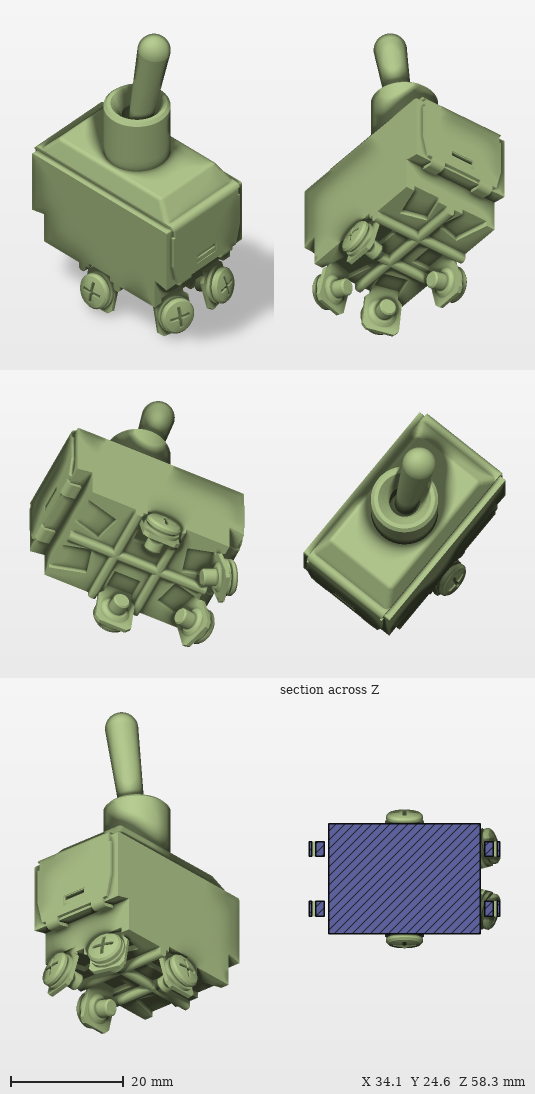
import cadquery as cq
import math

HOUSING_WIDTH = 32.75
BASE_WIDTH = 26.95
HOUSING_DEPTH = 19.6
HOUSING_TOP = 25.95
BASE_FLOOR = 7.3
SHOULDER_OUTER_Z = 12.9
SHOULDER_INNER_Z = 13.5
HOUSING_EDGE_RADIUS = 0.3

RIDGE_WIDTH = 1.5
RIDGE_BOTTOM = 5.8
RIDGE_RADIUS = 0.65
RIDGE_OFFSET = 4.2

SLOT_HEIGHT = 1.05
SLOT_WIDTH = 5.2
SLOT_DEPTH = 6.1
END_SLOT_Y = 5.35

SHEET = 0.65
BRACKET_WIDTH = 34.05
BRACKET_DEPTH = 17.15
BRACKET_TOP = 26.7
BEND_DEPTH = 16.25
BEND_RELIEF_Z = 24.25
BEND_RADIUS = 1.05
TAPER_START_Z = 17.7
STRAP_BOTTOM_Z = 13.4
STRAP_BOTTOM_DEPTH = 15.05
HOOK_WIDTH = 2.7
HOOK_Y = 5.3
HOOK_CORNER_Z = 11.85
HOOK_TIP_X = 14.1

WINDOW_WIDTH = 4.9
WINDOW_BOTTOM = 15.05
WINDOW_TOP = 16.95
WINDOW_STEP = 0.1
LATCH_LEDGE_Z = 16.05
LATCH_DEPTH = 0.95
LATCH_MARGIN = 0.2

COVER_TOP = 30.0
COVER_BASE_X = 30.8
COVER_BASE_Y = 17.15
COVER_TOP_X = 24.85
COVER_TOP_Y = 14.1
COVER_RADIUS = 0.95

BUSHING_DIAMETER = 11.95
BUSHING_TOP = 40.85
BUSHING_CHAMFER = 0.6
MOUTH_DIAMETER = 9.4
BORE_DIAMETER = 5.4
MOUTH_DEPTH = 2.5
LEVER_TILT = 10.6
BALL_DIAMETER = 5.95
BALL_SEAM = 0.2
BALL_X = 4.15
LEVER_TOP = 58.3
LEVER_ROOT_DIAMETER = 3.8
BALL_Z = LEVER_TOP - BALL_DIAMETER / 2
LEVER_LENGTH = BALL_X / math.sin(math.radians(LEVER_TILT))
PIVOT_Z = BALL_Z - BALL_X / math.tan(math.radians(LEVER_TILT))

TERMINAL_TILT = 15.0
TERMINAL_SKEW = 15.0
SIDE_TERMINAL_Y = 9.8
END_TERMINAL_X = 14.3
END_TERMINAL_Y = 5.55
PLATE_WIDTH = 6.95
NECK_WIDTH = 5.15
PLATE_THICKNESS = 0.75
PLATE_CHAMFER = 0.9
PLATE_SHOULDER = 6.2
NECK_START = 7.1
PLATE_LENGTH = 9.3
SCREW_HEIGHT = 3.7
BOSS_DIAMETER = 5.4
BOSS_TIP_DIAMETER = 4.0
BOSS_HEIGHT = 0.45
PIN_DIAMETER = 3.1
PIN_TIP_DIAMETER = 2.55
PIN_LENGTH = 3.05
PIN_CHAMFER = 0.3
FLAT_WASHER_DIAMETER = 6.7
LOCK_WASHER_DIAMETER = 5.4
FLAT_WASHER_THICKNESS = 0.65
LOCK_WASHER_THICKNESS = 0.45
HEAD_DIAMETER = 6.55
HEAD_FACE_DIAMETER = 5.85
HEAD_EDGE_HEIGHT = 0.5
HEAD_FACE_HEIGHT = 0.95
HEAD_DOME = 0.4
CROSS_LENGTH = 4.1
CROSS_WIDTH = 0.7
CROSS_DEPTH = 0.7


def block(x0, x1, y0, y1, z0, z1):
    """Axis-aligned box between two opposite corners."""
    return cq.Workplane("XY").box(x1 - x0, y1 - y0, z1 - z0, centered=False).translate((x0, y0, z0))


def prism_along_y(points, depth):
    """Prism of an XZ outline, centred on Y = 0."""
    return cq.Workplane("XZ").polyline(points).close().extrude(depth / 2, both=True)


def make_housing():
    wide, narrow = HOUSING_WIDTH / 2, BASE_WIDTH / 2
    right_side = [
        (narrow, BASE_FLOOR),
        (narrow, SHOULDER_INNER_Z),
        (wide, SHOULDER_OUTER_Z),
        (wide, HOUSING_TOP),
    ]
    left_side = [(-x, z) for x, z in reversed(right_side)]
    body = prism_along_y(right_side + left_side, HOUSING_DEPTH)
    return body.edges("|Y and >Z").fillet(HOUSING_EDGE_RADIUS)


def ridge(length):
    """Round-bottomed ridge along X under the base."""
    height = BASE_FLOOR - RIDGE_BOTTOM
    bar = cq.Workplane("XY").box(length, RIDGE_WIDTH, height)
    bar = bar.edges("|X and <Z").fillet(RIDGE_RADIUS)
    return bar.translate((0, 0, RIDGE_BOTTOM + height / 2))


def make_ridges():
    ridges = ridge(BASE_WIDTH)
    for side in (-1, 1):
        crosswise = ridge(HOUSING_DEPTH).rotate((0, 0, 0), (0, 0, 1), 90)
        ridges = ridges.union(crosswise.translate((side * RIDGE_OFFSET, 0, 0)))
    return ridges


def slot(x, y, heading):
    """Slot running inward from (x, y) on the base, opposite to a heading in degrees from +X."""
    pocket = cq.Workplane("XY").box(2 * SLOT_DEPTH, SLOT_WIDTH, SLOT_HEIGHT)
    return pocket.rotate((0, 0, 0), (0, 0, 1), heading).translate((x, y, BASE_FLOOR + SLOT_HEIGHT / 2))


def make_slots():
    end_slot = slot(BASE_WIDTH / 2, END_SLOT_Y, TERMINAL_SKEW)
    slots = slot(0, HOUSING_DEPTH / 2, 90).union(end_slot).union(end_slot.mirror("YZ"))
    return slots.union(slots.mirror("XZ"))


def make_hook(y):
    """Hook on the +X strap, bent inward under the shoulder of the housing."""
    outer = BRACKET_WIDTH / 2
    inner = outer - SHEET
    rise = (SHOULDER_INNER_Z - SHOULDER_OUTER_Z) / ((HOUSING_WIDTH - BASE_WIDTH) / 2)
    angle = math.atan(rise)
    tip_z = HOOK_CORNER_Z + (outer - HOOK_TIP_X) * rise
    tip_top = (HOOK_TIP_X + SHEET * math.sin(angle), tip_z + SHEET * math.cos(angle))
    outline = [
        (outer, STRAP_BOTTOM_Z),
        (outer, HOOK_CORNER_Z),
        (HOOK_TIP_X, tip_z),
        tip_top,
        (inner, tip_top[1] - (inner - tip_top[0]) * rise),
        (inner, STRAP_BOTTOM_Z),
    ]
    hook = prism_along_y(outline, HOOK_WIDTH)
    return hook.edges("|Y and <Z").fillet(BEND_RADIUS).translate((0, y, 0))


def make_bracket():
    half_x, half_y = BRACKET_WIDTH / 2, BRACKET_DEPTH / 2
    saddle = block(-half_x, half_x, -half_y, half_y, STRAP_BOTTOM_Z, BRACKET_TOP)
    saddle = saddle.edges("|Y and >Z").fillet(BEND_RADIUS)
    strap_side = [
        (STRAP_BOTTOM_DEPTH / 2, STRAP_BOTTOM_Z),
        (half_y, TAPER_START_Z),
        (half_y, BEND_RELIEF_Z),
        (BEND_DEPTH / 2, BEND_RELIEF_Z),
        (BEND_DEPTH / 2, HOUSING_TOP),
        (half_y, HOUSING_TOP),
        (half_y, BRACKET_TOP),
    ]
    outline = strap_side + [(-y, z) for y, z in reversed(strap_side)]
    trim = cq.Workplane("YZ").polyline(outline).close().extrude(half_x, both=True)
    bracket = saddle.intersect(trim)
    inner = half_x - SHEET
    bracket = bracket.cut(block(-inner, inner, -half_y, half_y, 0, HOUSING_TOP - HOUSING_EDGE_RADIUS))
    for y in (-HOOK_Y, HOOK_Y):
        hook = make_hook(y)
        bracket = bracket.union(hook).union(hook.mirror("YZ"))
    return bracket


def make_windows():
    """Shallow latch windows with a deeper upper half in both straps."""
    outer = BRACKET_WIDTH / 2
    half = WINDOW_WIDTH / 2
    window = block(outer - WINDOW_STEP, outer, -half, half, WINDOW_BOTTOM, WINDOW_TOP)
    latch_half = half - LATCH_MARGIN
    latch = block(
        outer - LATCH_DEPTH, outer, -latch_half, latch_half, LATCH_LEDGE_Z, WINDOW_TOP - LATCH_MARGIN
    )
    window = window.union(latch)
    return window.union(window.mirror("YZ"))


def make_cover():
    cover = (
        cq.Workplane("XY", origin=(0, 0, BRACKET_TOP))
        .rect(COVER_BASE_X, COVER_BASE_Y)
        .workplane(offset=COVER_TOP - BRACKET_TOP)
        .rect(COVER_TOP_X, COVER_TOP_Y)
        .loft(combine=True)
    )
    return cover.edges("not <Z").fillet(COVER_RADIUS)


def make_bushing():
    bushing = (
        cq.Workplane("XY", origin=(0, 0, COVER_TOP))
        .circle(BUSHING_DIAMETER / 2)
        .extrude(BUSHING_TOP - COVER_TOP)
        .faces(">Z")
        .chamfer(BUSHING_CHAMFER)
    )
    mouth = (
        cq.Workplane("XZ")
        .moveTo(0, PIVOT_Z)
        .lineTo(BORE_DIAMETER / 2, PIVOT_Z)
        .lineTo(BORE_DIAMETER / 2, BUSHING_TOP - MOUTH_DEPTH)
        .lineTo(MOUTH_DIAMETER / 2, BUSHING_TOP)
        .lineTo(0, BUSHING_TOP)
        .close()
        .revolve(360, (0, 0), (0, 1))
    )
    return bushing.cut(mouth)


def make_lever():
    """Tapered lever with a round end, tilted, on a pivot ball that fills the bore of the bushing."""
    radius = BALL_DIAMETER / 2
    arc_mid = radius * math.sqrt(0.5)
    lever = (
        cq.Workplane("XZ")
        .moveTo(0, -LEVER_LENGTH)
        .lineTo(LEVER_ROOT_DIAMETER / 2, -LEVER_LENGTH)
        .lineTo(math.sqrt(radius**2 - BALL_SEAM**2), BALL_SEAM)
        .threePointArc((arc_mid, arc_mid), (0, radius))
        .close()
        .revolve(360, (0, 0), (0, 1))
    )
    lever = lever.rotate((0, 0, 0), (0, 1, 0), LEVER_TILT)
    lever = lever.translate((BALL_X, 0, BALL_Z))
    pivot_ball = cq.Workplane("XY").sphere(BORE_DIAMETER / 2).translate((0, 0, PIVOT_Z))
    return lever.union(pivot_ball)


def make_screw():
    """Screw with washers along Z; Z = 0 is the inner face of the terminal plate."""
    lock_washer_base = PLATE_THICKNESS + FLAT_WASHER_THICKNESS
    head_base = lock_washer_base + LOCK_WASHER_THICKNESS
    face_z = head_base + HEAD_FACE_HEIGHT
    apex_z = face_z + HEAD_DOME
    dome_radius = ((HEAD_FACE_DIAMETER / 2) ** 2 + HEAD_DOME**2) / (2 * HEAD_DOME)
    dome_mid_x = HEAD_FACE_DIAMETER / 4
    dome_mid_z = apex_z - dome_radius + math.sqrt(dome_radius**2 - dome_mid_x**2)
    profile = (
        cq.Workplane("XZ")
        .moveTo(0, -PIN_LENGTH)
        .lineTo(PIN_TIP_DIAMETER / 2, -PIN_LENGTH)
        .lineTo(PIN_DIAMETER / 2, PIN_CHAMFER - PIN_LENGTH)
        .lineTo(PIN_DIAMETER / 2, -BOSS_HEIGHT)
        .lineTo(BOSS_TIP_DIAMETER / 2, -BOSS_HEIGHT)
        .lineTo(BOSS_DIAMETER / 2, 0)
        .lineTo(BOSS_DIAMETER / 2, PLATE_THICKNESS)
        .lineTo(FLAT_WASHER_DIAMETER / 2, PLATE_THICKNESS)
        .lineTo(FLAT_WASHER_DIAMETER / 2, lock_washer_base)
        .lineTo(LOCK_WASHER_DIAMETER / 2, lock_washer_base)
        .lineTo(LOCK_WASHER_DIAMETER / 2, head_base)
        .lineTo(HEAD_DIAMETER / 2, head_base)
        .lineTo(HEAD_DIAMETER / 2, head_base + HEAD_EDGE_HEIGHT)
        .lineTo(HEAD_FACE_DIAMETER / 2, face_z)
        .threePointArc((dome_mid_x, dome_mid_z), (0, apex_z))
        .close()
    )
    screw = profile.revolve(360, (0, 0), (0, 1))
    for length_x, length_y in ((CROSS_LENGTH, CROSS_WIDTH), (CROSS_WIDTH, CROSS_LENGTH)):
        arm = cq.Workplane("XY").box(length_x, length_y, 2 * CROSS_DEPTH)
        screw = screw.cut(arm.translate((0, 0, apex_z)))
    return screw


def make_terminal():
    """Flat terminal with its screw; Y runs up the plate from its lower end, Z points outward."""
    right_side = [
        (PLATE_WIDTH / 2 - PLATE_CHAMFER, 0),
        (PLATE_WIDTH / 2, PLATE_CHAMFER),
        (PLATE_WIDTH / 2, PLATE_SHOULDER),
        (NECK_WIDTH / 2, NECK_START),
        (NECK_WIDTH / 2, PLATE_LENGTH),
    ]
    left_side = [(-x, y) for x, y in reversed(right_side)]
    plate = cq.Workplane("XY").polyline(right_side + left_side).close().extrude(PLATE_THICKNESS)
    return plate.union(make_screw().translate((0, SCREW_HEIGHT, 0)))


def placed_terminal(x, y, heading):
    """Terminal with its lower edge at (x, y, 0), facing outward along a heading in degrees from +X."""
    turn = math.radians(heading)
    tilt = math.radians(TERMINAL_TILT)
    normal = (math.cos(turn) * math.cos(tilt), math.sin(turn) * math.cos(tilt), math.sin(tilt))
    across = (-math.sin(turn), math.cos(turn), 0)
    frame = cq.Plane(origin=(x, y, 0), xDir=across, normal=normal)
    return cq.Workplane(make_terminal().val().moved(cq.Location(frame)))


result = make_housing().cut(make_slots()).union(make_ridges())
result = result.union(make_bracket()).cut(make_windows())
result = result.union(make_cover()).union(make_bushing()).union(make_lever())
for side in (-1, 1):
    result = result.union(placed_terminal(0, side * SIDE_TERMINAL_Y, side * 90))
    result = result.union(placed_terminal(END_TERMINAL_X, side * END_TERMINAL_Y, side * TERMINAL_SKEW))